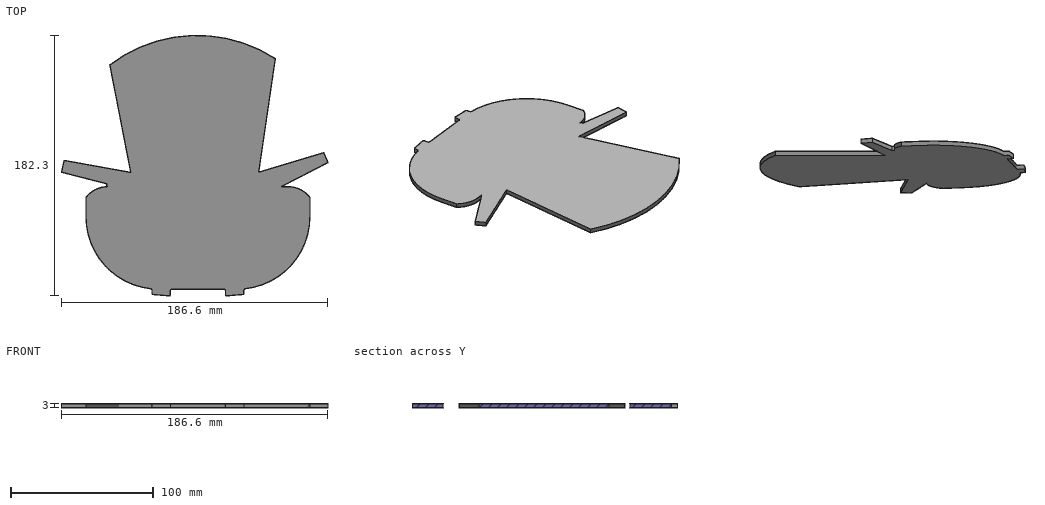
import cadquery as cq
import math

thickness = 3.0

body_half_width = 78.4
body_bottom_y = -86.1
body_corner_radius = 50.8
shoulder_y = -14.3
shoulder_radius = 19.05
shoulder_flat_half_width = 63.2

crown_left = (-61.7, 70.8)
crown_right = (54.2, 75.2)
crown_top = (-1.24, 91.5)
neck_left = (-47.1, -4.3)
neck_right = (42.6, -4.1)

left_tip_upper = (-93.65, 4.1)
left_tip_lower = (-95.5, -4.3)
left_arm_root = (-63.9, -12.4)
right_tip_upper = (88.0, 9.5)
right_tip_lower = (91.09, 2.5)
right_arm_root = (58.5, shoulder_y)

foot_inner_x = 19.2
foot_outer_x = 32.2
foot_inner_y = -90.88
foot_outer_y = -89.8
foot_corner_radius = 1.0

corner_center_x = body_half_width - body_corner_radius
corner_center_y = body_bottom_y + body_corner_radius

shoulder_center_y = shoulder_y - shoulder_radius
shoulder_angle = math.acos((body_half_width - shoulder_flat_half_width) / shoulder_radius)


def corner_point(side, angle):
    """Point on the lower body corner; the angle is measured below the horizontal."""
    x = corner_center_x + body_corner_radius * math.cos(angle)
    y = corner_center_y - body_corner_radius * math.sin(angle)
    return (side * x, y)


def shoulder_point(side, angle):
    """Point on the shoulder arc; the angle is measured above the horizontal."""
    x = shoulder_flat_half_width + shoulder_radius * math.cos(angle)
    y = shoulder_center_y + shoulder_radius * math.sin(angle)
    return (side * x, y)


foot_angle = math.acos((foot_outer_x - corner_center_x) / body_corner_radius)


def foot_corners(side):
    """Corners of one foot from the outer body joint to the inner bottom joint."""
    return [
        corner_point(side, foot_angle),
        (side * foot_outer_x, foot_outer_y),
        (side * foot_inner_x, foot_inner_y),
        (side * foot_inner_x, body_bottom_y),
    ]


def make_plate():
    """Extrude the outline, drawn clockwise from the left end of the crown."""
    right_foot = foot_corners(1)
    left_foot = foot_corners(-1)[::-1]
    quarter_turn = math.pi / 2
    shoulder_middle = (shoulder_angle + quarter_turn) / 2

    outline = cq.Workplane("XY").moveTo(*crown_left)
    outline = outline.threePointArc(crown_top, crown_right)

    outline = outline.lineTo(*neck_right)
    outline = outline.lineTo(*right_tip_upper)
    outline = outline.lineTo(*right_tip_lower)
    outline = outline.lineTo(*right_arm_root)
    outline = outline.lineTo(*shoulder_point(1, quarter_turn))
    outline = outline.threePointArc(shoulder_point(1, shoulder_middle), shoulder_point(1, shoulder_angle))
    outline = outline.lineTo(*corner_point(1, 0))
    outline = outline.threePointArc(corner_point(1, foot_angle / 2), right_foot[0])

    for corner in right_foot[1:] + left_foot:
        outline = outline.lineTo(*corner)

    outline = outline.threePointArc(corner_point(-1, foot_angle / 2), corner_point(-1, 0))
    outline = outline.lineTo(*shoulder_point(-1, shoulder_angle))
    outline = outline.threePointArc(shoulder_point(-1, shoulder_middle), shoulder_point(-1, quarter_turn))
    outline = outline.lineTo(left_arm_root[0], shoulder_y)
    outline = outline.lineTo(*left_arm_root)
    outline = outline.lineTo(*left_tip_lower)
    outline = outline.lineTo(*left_tip_upper)
    outline = outline.lineTo(*neck_left)
    return outline.close().extrude(thickness)


def round_foot_corners(plate):
    """Round the vertical edges at all corners of both feet."""
    mid_height = thickness / 2
    for side in (1, -1):
        for x, y in foot_corners(side):
            nearest_edge = cq.selectors.NearestToPointSelector((x, y, mid_height))
            plate = plate.edges("|Z").edges(nearest_edge).fillet(foot_corner_radius)
    return plate


result = round_foot_corners(make_plate())